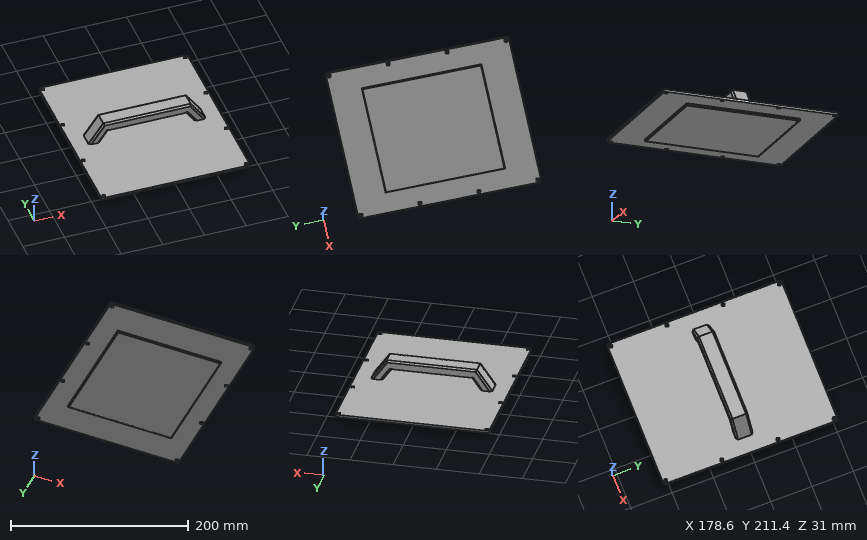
import cadquery as cq

plate_x = 178.6
plate_y = 211.4
plate_thickness = 3.0
corner_radius = 2.7

hole_diameter = 3.5
hole_inset = 3.5
holes_per_row = 4
hole_pitch_x = plate_x - 2 * hole_inset
hole_pitch_y = (plate_y - 2 * hole_inset) / (holes_per_row - 1)

pad_x = 128.0
pad_y = 138.2
pad_thickness = 3.0
pad_chamfer = 0.8

handle_height = 25.0
handle_width = 20.5
handle_foot_span = 140.4
handle_top_span = 104.8
grip_thickness = 10.0
leg_foot_length = 13.3
handle_chamfer = 2.1

grip_underside = handle_height - grip_thickness
outer_foot = handle_foot_span / 2
outer_top = handle_top_span / 2
lean_per_height = (outer_foot - outer_top) / handle_height
inner_foot = outer_foot - leg_foot_length
inner_top = inner_foot - lean_per_height * grip_underside


def make_plate():
    """Flat plate with rounded corners and two rows of through holes."""
    plate = (
        cq.Workplane("XY")
        .rect(plate_x, plate_y)
        .extrude(-plate_thickness)
        .edges("|Z")
        .fillet(corner_radius)
    )
    holes = (
        cq.Workplane("XY")
        .rarray(hole_pitch_x, hole_pitch_y, 2, holes_per_row)
        .circle(hole_diameter / 2)
        .extrude(-plate_thickness)
    )
    return plate.cut(holes)


def make_handle():
    """Bow handle, chamfered along the grip top and along both sides of its legs."""
    bow = (
        cq.Workplane("XZ")
        .polyline(
            [
                (-outer_foot, 0),
                (-outer_top, handle_height),
                (outer_top, handle_height),
                (outer_foot, 0),
                (inner_foot, 0),
                (inner_top, grip_underside),
                (-inner_top, grip_underside),
                (-inner_foot, 0),
            ]
        )
        .close()
        .extrude(handle_width / 2, both=True)
    )
    leg_edges = bow.faces("<Y or >Y").edges("not #Z")
    grip_top_edges = bow.faces(">Z").edges("|X")
    return leg_edges.add(grip_top_edges).chamfer(handle_chamfer)


def make_cover():
    """Plate and handle as one body."""
    return make_plate().union(make_handle())


def make_pad():
    """Rectangular pad under the plate, chamfered around its upper and lower faces."""
    return (
        cq.Workplane("XY")
        .workplane(offset=-plate_thickness)
        .rect(pad_x, pad_y)
        .extrude(-pad_thickness)
        .faces("<Z or >Z")
        .edges()
        .chamfer(pad_chamfer)
    )


cover = make_cover()
pad = make_pad()

result = cq.Compound.makeCompound([cover.solids().val(), pad.solids().val()])